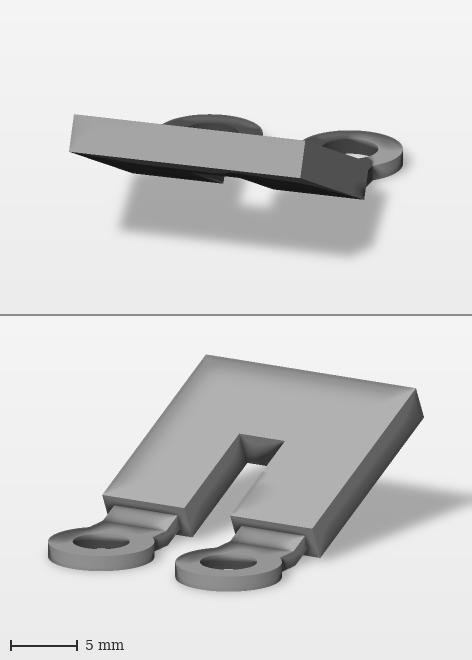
import cadquery as cq
import math

ring_radius = 4.0
hole_radius = 2.15
ring_spacing = 11.08
tab_width = 5.51
tab_thickness = 1.18
bend_y = -4.95

tilt = 25.0
block_width = 18.3
block_length = 17.0
block_thickness = 2.85
slot_width = 3.98
slot_length = 9.0
block_bottom_z = 0.15
overall_length = 26.9

slope_cos = math.cos(math.radians(tilt))
slope_sin = math.sin(math.radians(tilt))
block_bottom_y = ring_radius + block_length * slope_cos - overall_length


def up_slope(point, distance):
    """Move a (Y, Z) point along the tilted direction, away from the rings."""
    return (point[0] - distance * slope_cos, point[1] + distance * slope_sin)


def square_to_slope(point, distance):
    """Move a (Y, Z) point outward through the tilted thickness."""
    return (point[0] + distance * slope_sin, point[1] + distance * slope_cos)


def extrude_across(profile, width, center_x):
    """Extrude a closed (Y, Z) profile symmetrically about center_x."""
    plane = cq.Workplane("YZ", origin=(center_x, 0, 0))
    return plane.polyline(profile).close().extrude(width / 2, both=True)


def tilted_bar(width, length):
    """Full-thickness bar reaching up the slope from the lower block face."""
    near_bottom = (block_bottom_y, block_bottom_z)
    far_bottom = up_slope(near_bottom, length)
    near_top = square_to_slope(near_bottom, block_thickness)
    far_top = square_to_slope(far_bottom, block_thickness)
    return extrude_across([near_bottom, far_bottom, far_top, near_top], width, 0)


def terminal(center_x):
    """Flat ring with a bent tab that ends inside the block."""
    ring = cq.Workplane("XY").center(center_x, 0).circle(ring_radius).extrude(tab_thickness)
    top_crease = (bend_y, tab_thickness)
    bottom_crease = (bend_y - tab_thickness * math.tan(math.radians(tilt / 2)), 0)
    embedded_reach = block_thickness
    profile = [
        (0, 0),
        bottom_crease,
        up_slope(bottom_crease, embedded_reach),
        up_slope(top_crease, embedded_reach),
        top_crease,
        (0, tab_thickness),
    ]
    tab = extrude_across(profile, tab_width, center_x)
    hole = cq.Workplane("XY").center(center_x, 0).circle(hole_radius).extrude(tab_thickness)
    return ring.union(tab).cut(hole)


result = tilted_bar(block_width, block_length).cut(tilted_bar(slot_width, slot_length))
for side in (-1, 1):
    result = result.union(terminal(side * ring_spacing / 2))